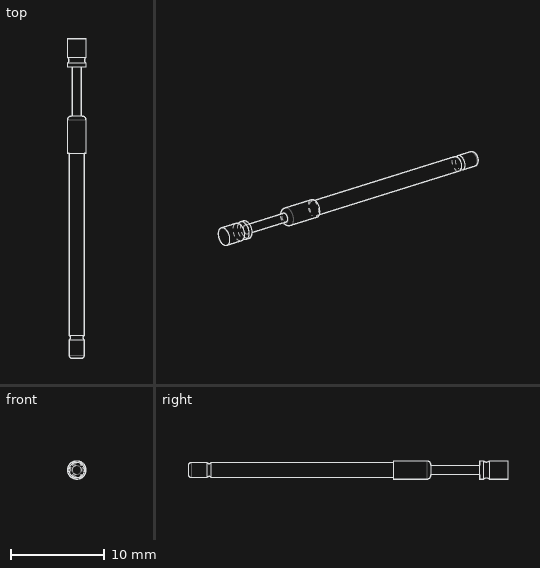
import cadquery as cq

total_length = 34.3

head_diameter = 2.0
rod_diameter = 1.0
collar_diameter = 2.0
barrel_diameter = 1.65

head_length = 3.05
rod_length = 5.25
collar_length = 4.0
barrel_length = total_length - head_length - rod_length - collar_length

tip_radius = 0.35
collar_radius = 0.4

head_groove_width = 0.62
head_groove_depth = 0.15
head_groove_to_front = 2.33
barrel_groove_width = 0.45
barrel_groove_depth = 0.15
barrel_groove_to_tip = 2.23

head_start = total_length - head_length
collar_end = barrel_length + collar_length


def cylinder_section(diameter, start, length):
    """Solid cylinder on the Y axis, reaching from start towards +Y."""
    plane = cq.Workplane("XZ", origin=(0, start, 0))
    return plane.circle(diameter / 2).extrude(-length)


def round_groove(diameter, center, width, depth):
    """Torus that cuts an arc-shaped groove around a cylinder."""
    arc_radius = (width**2 / 4 + depth**2) / (2 * depth)
    arc_center = diameter / 2 - depth + arc_radius
    profile = cq.Workplane("XY").moveTo(arc_center, center).circle(arc_radius)
    return profile.revolve(360, (0, 0, 0), (0, 1, 0))


barrel = cylinder_section(barrel_diameter, 0, barrel_length)
barrel = barrel.faces("<Y").edges().fillet(tip_radius)
collar = cylinder_section(collar_diameter, barrel_length, collar_length)
collar = collar.faces(">Y").edges().fillet(collar_radius)
rod = cylinder_section(rod_diameter, collar_end, rod_length)
head = cylinder_section(head_diameter, head_start, head_length)

barrel_groove = round_groove(
    barrel_diameter, barrel_groove_to_tip, barrel_groove_width, barrel_groove_depth
)
head_groove = round_groove(
    head_diameter, total_length - head_groove_to_front, head_groove_width, head_groove_depth
)

result = barrel.union(collar).union(rod).union(head).cut(barrel_groove).cut(head_groove)